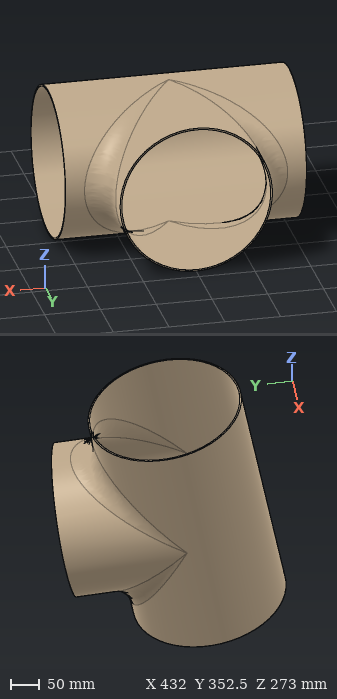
import cadquery as cq
import math

OUTER_DIAMETER = 273.0
WALL = 3.0
RUN_LENGTH = 432.0
CROTCH_RADIUS = 45.5

OUTER_RADIUS = OUTER_DIAMETER / 2
INNER_RADIUS = OUTER_RADIUS - WALL
BRANCH_REACH = RUN_LENGTH / 2
BLEND_CENTER = OUTER_RADIUS + CROTCH_RADIUS

ARC_STEPS = 12
HEIGHT_STEPS = 24
SPLINE_TOLERANCE = 0.001
MERGE_TOLERANCE = 0.01


def blend_surface(radius):
    """Curved face that rounds the +X corner between run and branch of one pipe radius.

    Every horizontal slice is an arc tangent to both pipes. The slices shrink with the
    half width of the pipe and vanish at its top and bottom.
    """
    arc_radius = BLEND_CENTER - radius
    rows = []
    for arc_step in range(ARC_STEPS + 1):
        arc_angle = math.pi + math.pi / 2 * arc_step / ARC_STEPS
        mid_x = BLEND_CENTER + arc_radius * math.cos(arc_angle)
        mid_y = BLEND_CENTER + arc_radius * math.sin(arc_angle)
        row = []
        for height_step in range(HEIGHT_STEPS + 1):
            height_angle = math.pi * (height_step / HEIGHT_STEPS - 0.5)
            shrink = math.cos(height_angle)
            height = radius * math.sin(height_angle)
            row.append(cq.Vector(mid_x * shrink, mid_y * shrink, height))
        rows.append(row)
    return cq.Face.makeSplineApprox(rows, tol=SPLINE_TOLERANCE, minDeg=3, maxDeg=8)


def crotch_wedge(radius):
    """Solid wedge between the Z axis and the blend surface at the +X corner."""
    surface = blend_surface(radius)
    axis_line = cq.Edge.makeLine(cq.Vector(0, 0, -radius), cq.Vector(0, 0, radius))
    half_ellipses = [edge for edge in surface.Edges() if edge.Length() > radius]
    flat_sides = []
    for half_ellipse in half_ellipses:
        outline = cq.Wire.assembleEdges([half_ellipse, axis_line])
        flat_sides.append(cq.Face.makeFromWires(outline))
    shell = cq.Shell.makeShell([surface] + flat_sides)
    return cq.Workplane(cq.Solid.makeSolid(shell))


def tee_body(radius):
    """Solid tee of one pipe radius: run, branch and a blend on either side."""
    run = cq.Workplane("YZ").circle(radius).extrude(RUN_LENGTH / 2, both=True)
    branch = cq.Workplane("XZ").circle(radius).extrude(-BRANCH_REACH)
    body = run.union(branch)
    wedge = crotch_wedge(radius)
    for side_wedge in (wedge, wedge.mirror("YZ")):
        body = body.union(side_wedge, tol=MERGE_TOLERANCE)
    return body


result = tee_body(OUTER_RADIUS).cut(tee_body(INNER_RADIUS)).solids()